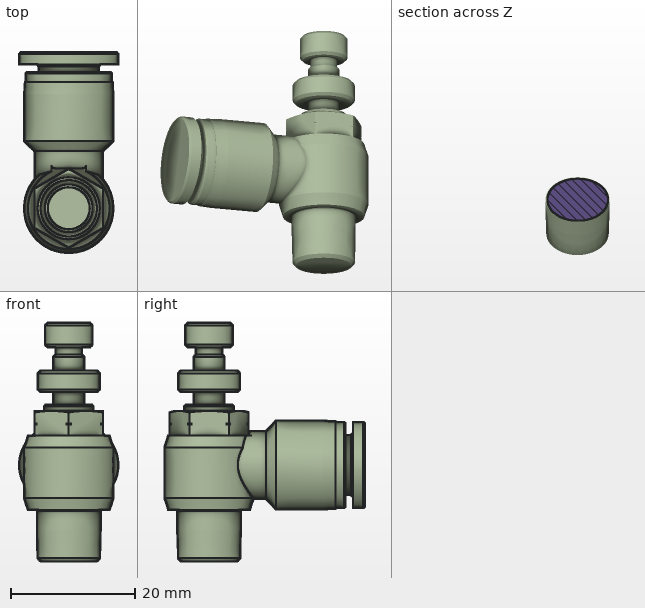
import cadquery as cq
import math


total_height = 38.45
thread_end_height = 5.08
thread_top = 8.1
housing_bottom = 8.3
housing_top = 20.25
hex_top = 24.25
bolt_top = 25.3
lock_bottom = 27.25
lock_top = 30.75
shaft_top = 33.3
knob_bottom = 34.45

housing_radius = 7.2
housing_end_radius = 6.57
housing_taper_length = 1.9

port_axis_height = 15.55
branch_neck_radius = 5.5
branch_neck_end = 9.2
port_shoulder = 10.8
port_radius = housing_radius
port_taper_start = 18.35
port_end = 20.35
port_end_radius = 7.07
seat_wall = 6.42
seat_wall_round = 0.35

stem_radius = 4.92
thread_radius = 5.15
thread_end_radius = 5.05
thread_chamfer = 0.55
hex_across_flats = 11.05
hex_chamfer_radius = 5.42
hex_chamfer_angle = 15.0
hex_score_height = 22.15
hex_score_width = 0.1
hex_score_radius = 6.2
boss_radius = 4.0
boss_chamfer = 0.35

shaft_radius = 2.5
shaft_chamfer = 0.35
knob_radius = 3.85
lock_radius = 5.0
grip_chamfer = 0.45

ring_radius = 6.95
ring_front = 21.9
ring_chamfer = 0.23
sleeve_radius = 4.85
sleeve_flare = 0.23
sleeve_flare_length = 0.35
flange_back = 23.15
flange_front = 25.1
flange_half_width = 8.0
flange_half_height = 6.95
flange_chamfer = 0.3


def upright_turning(profile):
    """Solid turned about the bolt axis from (radius, height) points."""
    return cq.Workplane("XZ").polyline(profile).close().revolve(360, (0, 0), (0, 1))


def port_turning(profile):
    """Solid turned about the tube port axis from (radius, distance along Y) points."""
    turned = cq.Workplane("XY").polyline(profile).close().revolve(360, (0, 0), (0, 1))
    return turned.translate((0, 0, port_axis_height))


def disc_edge(radius, bottom, top, chamfer):
    """Rim points of a disc that is chamfered at its lower and upper edge."""
    return [
        (radius - chamfer, bottom),
        (radius, bottom + chamfer),
        (radius, top - chamfer),
        (radius - chamfer, top),
    ]


def make_branch():
    """Tube port and its neck, cut level with the hex seat next to the bolt."""
    branch = port_turning([
        (0, 0),
        (branch_neck_radius, 0),
        (branch_neck_radius, branch_neck_end),
        (port_radius, port_shoulder),
        (port_radius, port_taper_start),
        (port_end_radius, port_end),
        (0, port_end),
    ])
    seat_cutter = cq.Workplane("XY").workplane(offset=housing_top).rect(
        2 * branch_neck_radius, 2 * seat_wall
    ).extrude(branch_neck_radius)
    branch = branch.cut(seat_cutter)
    crown_height = port_axis_height + branch_neck_radius
    wall_crest = cq.selectors.NearestToPointSelector((0, seat_wall, crown_height))
    return branch.edges(wall_crest).fillet(seat_wall_round)


def make_housing():
    upright = upright_turning([
        (0, housing_bottom),
        (housing_end_radius, housing_bottom),
        (housing_radius, housing_bottom + housing_taper_length),
        (housing_radius, housing_top - housing_taper_length),
        (housing_end_radius, housing_top),
        (0, housing_top),
    ])
    bolt_hole = cq.Workplane("XY").circle(stem_radius).extrude(total_height)
    return upright.union(make_branch()).cut(bolt_hole)


def make_hex_head():
    """Hexagon with corners along Y, chamfered on top and scored across its corners."""
    corner_radius = hex_across_flats / math.sqrt(3)
    head_height = hex_top - housing_top
    head = (
        cq.Workplane("XY", origin=(0, 0, housing_top))
        .polygon(6, 2 * corner_radius)
        .extrude(head_height)
        .rotate((0, 0, 0), (0, 0, 1), 30)
    )
    chamfer_drop = (corner_radius - hex_chamfer_radius) * math.tan(math.radians(hex_chamfer_angle))
    envelope = upright_turning([
        (0, housing_top),
        (corner_radius, housing_top),
        (corner_radius, hex_top - chamfer_drop),
        (hex_chamfer_radius, hex_top),
        (0, hex_top),
    ])
    score = (
        cq.Workplane("XY", origin=(0, 0, hex_score_height - hex_score_width / 2))
        .circle(2 * corner_radius)
        .circle(hex_score_radius)
        .extrude(hex_score_width)
    )
    return head.intersect(envelope).cut(score)


def make_bolt():
    stem = upright_turning([
        (0, 0),
        (thread_end_radius - thread_chamfer, 0),
        (thread_end_radius, thread_chamfer),
        (thread_radius, thread_end_height),
        (thread_radius, thread_top),
        (stem_radius, thread_top),
        (stem_radius, hex_top),
        (boss_radius, hex_top),
        (boss_radius, bolt_top - boss_chamfer),
        (boss_radius - boss_chamfer, bolt_top),
        (0, bolt_top),
    ])
    return stem.union(make_hex_head())


def make_needle():
    neck_radius = shaft_radius - shaft_chamfer
    return upright_turning([
        (0, bolt_top),
        (shaft_radius, bolt_top),
        (shaft_radius, lock_bottom),
        *disc_edge(lock_radius, lock_bottom, lock_top, grip_chamfer),
        (shaft_radius, lock_top),
        (shaft_radius, shaft_top - shaft_chamfer),
        (neck_radius, shaft_top),
        (neck_radius, knob_bottom),
        *disc_edge(knob_radius, knob_bottom, total_height, grip_chamfer),
        (0, total_height),
    ])


def make_release_sleeve():
    """Ring on the end of the port, sleeve, and an oval flange to push on."""
    turned = port_turning([
        (0, port_end),
        (ring_radius, port_end),
        (ring_radius, ring_front - ring_chamfer),
        (ring_radius - ring_chamfer, ring_front),
        (sleeve_radius, ring_front),
        (sleeve_radius, flange_back - sleeve_flare_length),
        (sleeve_radius + sleeve_flare, flange_back),
        (0, flange_back),
    ])
    flange = (
        cq.Workplane("XZ", origin=(0, flange_back, port_axis_height))
        .ellipse(flange_half_width, flange_half_height)
        .extrude(flange_back - flange_front)
        .faces(">Y")
        .edges()
        .chamfer(flange_chamfer)
    )
    return turned.union(flange)


housing = make_housing()
bolt = make_bolt()
needle = make_needle()
release_sleeve = make_release_sleeve()

result = cq.Compound.makeCompound([
    housing.val(),
    bolt.val(),
    needle.val(),
    release_sleeve.val(),
])